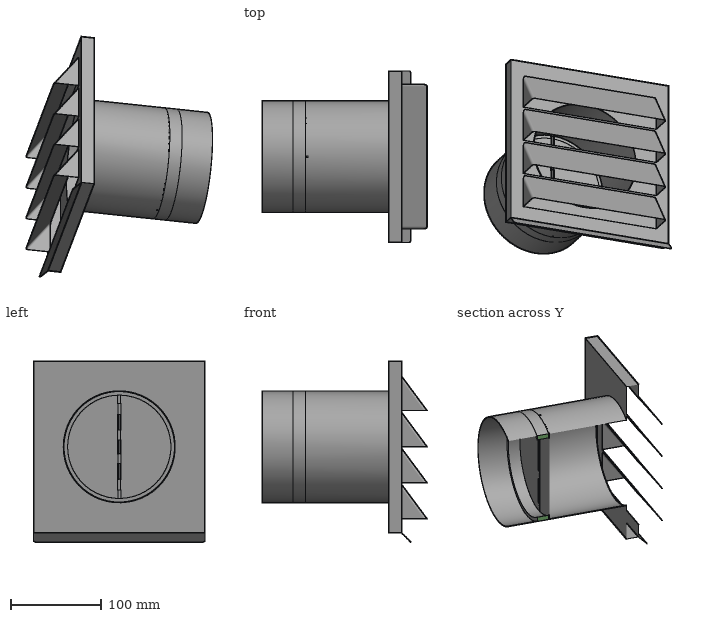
import cadquery as cq
import math


DUCT_LENGTH = 140.0
DUCT_RADIUS = 62.0
DUCT_WALL = 0.8
DUCT_BORE_RADIUS = DUCT_RADIUS - DUCT_WALL

SEAT_START = 34.3
SEAT_WIDTH = 13.8
SEAT_BORE_RADIUS = 57.2
SEAT_END = SEAT_START + SEAT_WIDTH

OUTER_HEIGHT = 200.5
BOX_WIDTH = 190.0
BOX_HEIGHT = 190.3
BOX_TOP = 94.9
BOX_BOTTOM = BOX_TOP - BOX_HEIGHT
BOX_DEPTH = 15.0
BOX_FRONT = DUCT_LENGTH + BOX_DEPTH
SHEET = 0.6

LOUVRE_COUNT = 4
LOUVRE_PITCH = 40.0
LOUVRE_WIDTH = 160.5
LOUVRE_REACH = 27.9
LOUVRE_HEIGHT = 37.7
LOUVRE_ROUND = 3.0

LIP_DROP = OUTER_HEIGHT - BOX_HEIGHT
LIP_CORNER_RADIUS = 3.0

PIN_RADIUS = 1.0
BARREL_RADIUS = 1.8
PIN_X = SEAT_END + BARREL_RADIUS
FLAP_THICKNESS = 1.0
FLAP_CLEARANCE = 0.6
FLAP_RADIUS = DUCT_BORE_RADIUS - FLAP_CLEARANCE
BARREL_SPANS = [(-47.7, -35.7), (7.5, 18.7), (47.7, 59.0)]


def disc(radius, start, length):
    """Round bar along the duct axis."""
    return cq.Workplane("YZ").workplane(offset=start).circle(radius).extrude(length)


def hinge_rod(radius, low, high):
    """Upright round bar on the hinge axis."""
    return cq.Workplane("XY").workplane(offset=low).center(PIN_X, 0).circle(radius).extrude(high - low)


def block(x_range, y_range, z_range):
    """Box given by its limits along each axis."""
    size = [high - low for low, high in (x_range, y_range, z_range)]
    corner = (x_range[0], y_range[0], z_range[0])
    return cq.Workplane("XY").box(*size, centered=False).translate(corner)


def side_profile(points, width):
    """Outline in X and Z, extruded to a width that is centred on Y = 0."""
    return cq.Workplane("XZ").polyline(points).close().extrude(width / 2, both=True)


def louvre_wedge(inset):
    """Louvre with its foot at Z = 0, its sloping and side faces moved inward by the inset."""
    slope = LOUVRE_HEIGHT / LOUVRE_REACH
    reach = LOUVRE_REACH - inset * math.hypot(1, 1 / slope)
    root = BOX_FRONT - SHEET
    tip = BOX_FRONT + reach
    profile = [(root, 0), (tip, 0), (root, slope * (tip - root))]
    wedge = side_profile(profile, LOUVRE_WIDTH - 2 * inset)
    slope_face = wedge.faces(cq.selectors.DirectionNthSelector(cq.Vector(slope, 0, 1), -1))
    return slope_face.edges("not |Y").fillet(LOUVRE_ROUND - inset)


def make_box():
    """Closed box of sheet metal with the duct opening in its back."""
    half_width = BOX_WIDTH / 2
    outer = block((DUCT_LENGTH, BOX_FRONT), (-half_width, half_width), (BOX_BOTTOM, BOX_TOP))
    inner = block(
        (DUCT_LENGTH + SHEET, BOX_FRONT - SHEET),
        (-half_width + SHEET, half_width - SHEET),
        (BOX_BOTTOM + SHEET, BOX_TOP - SHEET),
    )
    opening = disc(DUCT_BORE_RADIUS, DUCT_LENGTH, SHEET)
    return outer.cut(inner).cut(opening)


def add_louvres(box):
    """Put the row of hollow louvres on the box front and open them to the inside."""
    for i in range(LOUVRE_COUNT):
        foot = LOUVRE_PITCH * (1 - i)
        box = box.union(louvre_wedge(0).translate((0, 0, foot)))
        box = box.cut(louvre_wedge(SHEET).translate((0, 0, foot)))
    return box


def make_lip():
    """Sloping strip whose upper end is set into the bottom sheet of the box."""
    overlap = SHEET / 2
    thickness_across = SHEET * math.sqrt(2)
    step = SHEET / math.sqrt(2)
    top = BOX_BOTTOM + overlap
    bottom = BOX_BOTTOM - LIP_DROP
    upper_x = BOX_FRONT - overlap
    tip_x = upper_x + top - bottom - step
    profile = [
        (upper_x - thickness_across, top),
        (upper_x, top),
        (tip_x, bottom + step),
        (tip_x - step, bottom),
    ]
    lip = side_profile(profile, BOX_WIDTH)
    free_end = lip.faces(cq.selectors.DirectionNthSelector(cq.Vector(1, 0, -1), -1))
    return free_end.edges("not |Y").fillet(LIP_CORNER_RADIUS)


def make_duct():
    """Thin tube with the seat ring fixed inside it."""
    tube = disc(DUCT_RADIUS, 0, DUCT_LENGTH).cut(disc(DUCT_BORE_RADIUS, 0, DUCT_LENGTH))
    seat = disc(DUCT_RADIUS - DUCT_WALL / 2, SEAT_START, SEAT_WIDTH)
    return tube.union(seat.cut(disc(SEAT_BORE_RADIUS, SEAT_START, SEAT_WIDTH)))


def make_housing():
    """Duct, box, louvres and drip lip in one piece."""
    return add_louvres(make_box()).union(make_duct()).union(make_lip())


def make_flap(turn):
    """Half-disc flap on the -Y side with its hinge barrels, turned about the duct axis."""
    plate_x = (SEAT_END, SEAT_END + FLAP_THICKNESS)
    half = block(plate_x, (-FLAP_RADIUS, -BARREL_RADIUS), (-FLAP_RADIUS, FLAP_RADIUS))
    flap = disc(FLAP_RADIUS, SEAT_END, FLAP_THICKNESS).intersect(half)
    for low, high in BARREL_SPANS:
        flap = flap.union(block(plate_x, (-2 * BARREL_RADIUS, 0), (low, high)))
        flap = flap.union(hinge_rod(BARREL_RADIUS, low, high))
    flap = flap.cut(hinge_rod(PIN_RADIUS, -FLAP_RADIUS, FLAP_RADIUS))
    return flap.rotate((0, 0, 0), (1, 0, 0), turn)


def make_pin():
    """Hinge pin that spans the bore of the duct."""
    half_length = math.sqrt(DUCT_BORE_RADIUS**2 - PIN_RADIUS**2)
    return hinge_rod(PIN_RADIUS, -half_length, half_length)


housing = make_housing()
flaps = [make_flap(turn) for turn in (0, 180)]
pin = make_pin()

result = cq.Compound.makeCompound([housing.val(), *[flap.val() for flap in flaps], pin.val()])